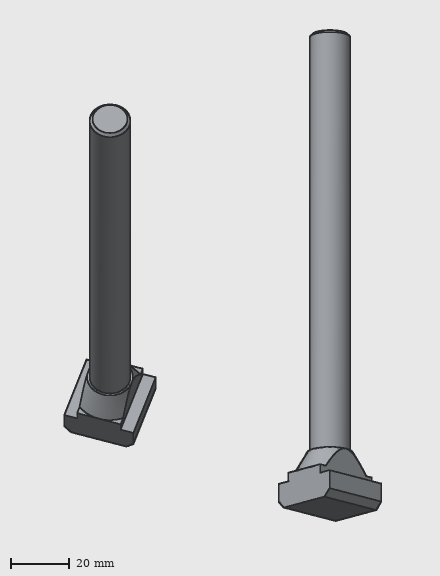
import cadquery as cq

total_height = 169.0
head_width = 25.0

head_height = 9.0
head_chamfer = 2.5
neck_width = 15.7
neck_top = 12.0

shoulder_top = 20.0
shoulder_base_radius = head_width / 2
shoulder_top_radius = neck_width / 2

shank_diameter = 14.0
tip_chamfer = 1.0


def make_head():
    """Square T-slot head, chamfered along its two lower edges parallel to Y."""
    head = cq.Workplane("XY").box(head_width, head_width, head_height, centered=(True, True, False))
    return head.faces("<Z").edges("|Y").chamfer(head_chamfer)


def make_neck(top):
    """Slot-width block from the base up to the given height."""
    return cq.Workplane("XY").box(neck_width, head_width, top, centered=(True, True, False))


def make_shoulder():
    """Cone tapering up to the shank, with its sides cut flush with the neck."""
    cone = (
        cq.Workplane("XY")
        .workplane(offset=neck_top)
        .circle(shoulder_base_radius)
        .workplane(offset=shoulder_top - neck_top)
        .circle(shoulder_top_radius)
        .loft(ruled=True)
    )
    return cone.intersect(make_neck(shoulder_top))


def make_shank():
    """Round shank with a chamfered tip, starting at the base of the head."""
    shank = cq.Workplane("XY").circle(shank_diameter / 2).extrude(total_height)
    return shank.faces(">Z").chamfer(tip_chamfer)


result = make_head().union(make_neck(neck_top)).union(make_shoulder()).union(make_shank())